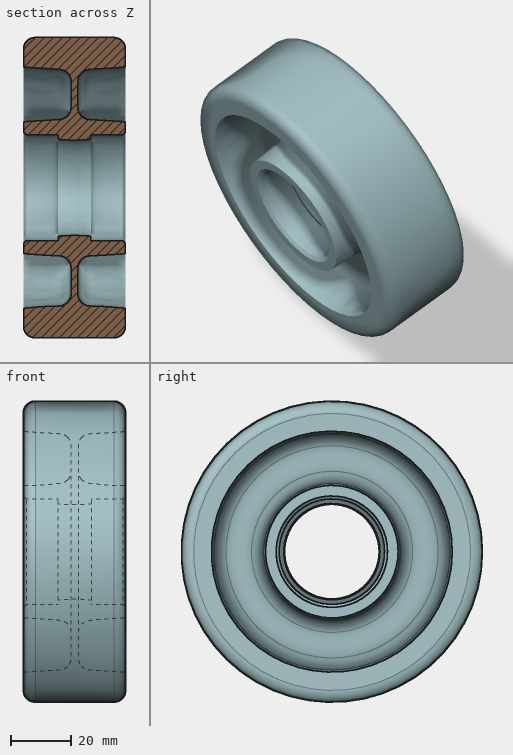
import cadquery as cq

outer_radius = 50.0
width = 34.0
shoulder_radius = 4.0

rim_mouth_radius = 40.0
rim_root_radius = 39.0
web_thickness = 2.4
root_fillet = 4.0

hub_face_radius = 22.0
hub_root_radius = 23.0

bore_edge_radius = 16.0
bore_middle_radius = 15.7
seat_radius = 17.5
seat_depth = 11.5
seat_chamfer = 1.0

half_width = width / 2
half_web = web_thickness / 2
half_bore = half_width - seat_depth


def revolve_about_x(outline):
    """Turn a closed outline, drawn as (x, radius), about the X axis."""
    return outline.close().revolve(360, (0, 0, 0), (1, 0, 0))


def make_blank():
    disc = cq.Workplane("YZ").workplane(offset=-half_width).circle(outer_radius).extrude(width)
    return disc.edges().fillet(shoulder_radius)


def make_recess():
    """Ring-shaped recess on the -X side, with drafted walls and rounded roots."""
    ring = revolve_about_x(
        cq.Workplane("XY")
        .moveTo(-half_width, hub_face_radius)
        .lineTo(-half_width, rim_mouth_radius)
        .lineTo(-half_web, rim_root_radius)
        .lineTo(-half_web, hub_root_radius)
    )
    return ring.faces(">X").edges().fillet(root_fillet)


def make_half_bore():
    """The -X half of the bore: chamfered bearing seat, then a slightly tapered hole."""
    return revolve_about_x(
        cq.Workplane("XY")
        .moveTo(-half_width, 0)
        .lineTo(-half_width, seat_radius + seat_chamfer)
        .lineTo(-half_width + seat_chamfer, seat_radius)
        .lineTo(-half_bore, seat_radius)
        .lineTo(-half_bore, bore_edge_radius)
        .lineTo(0, bore_middle_radius)
        .lineTo(0, 0)
    )


result = make_blank()
for side_cut in (make_recess(), make_half_bore()):
    result = result.cut(side_cut).cut(side_cut.mirror("YZ"))